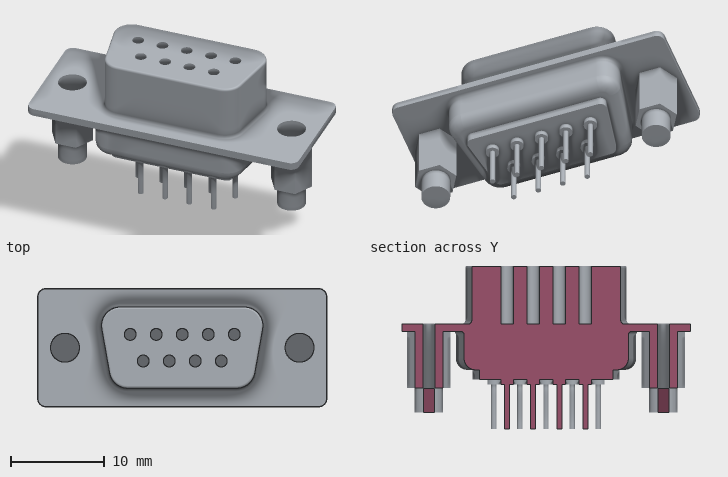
import cadquery as cq
import math

flange_thickness = 0.83
shell_height = 6.15
back_shell_depth = 4.1
insulator_depth = 5.1
collar_depth = 5.67
pin_depth = 10.4
hex_depth = 6.0
stud_depth = 8.63
shell_top = flange_thickness + shell_height

flange_length = 30.8
flange_width = 12.6
flange_corner_radius = 0.9
mount_spacing = 25.0
mount_points = [(-mount_spacing / 2, 0), (mount_spacing / 2, 0)]
hex_across_flats = 4.05
hex_across_corners = hex_across_flats / math.cos(math.pi / 6)
stud_diameter = 3.08

side_slope = math.radians(10)
shell_width = 17.2
shell_length = 8.65
shell_corner_radius = 1.97
back_shell_width = 19.23
back_shell_length = 10.85
back_shell_corner_radius = 1.9
insulator_width = 15.7
insulator_length = 7.0
insulator_corner_radius = 0.68

shell_rim_radius = 0.25
shell_root_radius = 0.35
back_shell_rim_radius = 1.23
back_shell_root_radius = 0.35

contact_pitch = 2.77
row_spacing = 2.83
back_row_count = 5
front_row_count = 4
socket_diameter = 1.25
socket_depth = shell_height
collar_diameter = 1.42
pin_diameter = 0.6


def contact_row(count, y):
    """Points of one row of contacts, centred on X = 0."""
    return [((i - (count - 1) / 2) * contact_pitch, y) for i in range(count)]


contact_points = contact_row(back_row_count, row_spacing / 2) + contact_row(front_row_count, -row_spacing / 2)


def cylinders(points, diameter, z_low, z_high):
    """Upright cylinders between two levels, one at each point."""
    base = cq.Workplane("XY").workplane(offset=z_low)
    return base.pushPoints(points).circle(diameter / 2).extrude(z_high - z_low)


def d_prism(width, length, corner_radius, z_low, z_high):
    """Upright prism with a rounded D outline, wide towards +Y and narrow towards -Y."""
    half_length = length / 2
    sharp_corner_offset = corner_radius * math.tan(math.pi / 4 + side_slope / 2)
    wide_half = width / 2 - corner_radius + sharp_corner_offset
    narrow_half = wide_half - length * math.tan(side_slope)
    outline = [
        (-wide_half, half_length),
        (wide_half, half_length),
        (narrow_half, -half_length),
        (-narrow_half, -half_length),
    ]
    prism = cq.Workplane("XY").workplane(offset=z_low).polyline(outline).close().extrude(z_high - z_low)
    return prism.edges("|Z").fillet(corner_radius)


def make_flange():
    flange = cq.Workplane("XY").box(
        flange_length, flange_width, flange_thickness, centered=(True, True, False)
    )
    return flange.edges("|Z").fillet(flange_corner_radius)


def make_shell():
    shell = d_prism(shell_width, shell_length, shell_corner_radius, 0, shell_top)
    return shell.faces(">Z").edges().fillet(shell_rim_radius)


def make_back_shell():
    back_shell = d_prism(
        back_shell_width, back_shell_length, back_shell_corner_radius, -back_shell_depth, 0
    )
    return back_shell.faces("<Z").edges().fillet(back_shell_rim_radius)


def fillet_root(body, z, radius):
    """Round the joint between a shell and the flange face at height z."""
    x_reach = flange_length / 2 - flange_corner_radius
    y_reach = flange_width / 2 - flange_corner_radius
    tolerance = 0.03
    joint = cq.selectors.BoxSelector(
        (-x_reach, -y_reach, z - tolerance), (x_reach, y_reach, z + tolerance)
    )
    return body.edges(joint).fillet(radius)


def make_insulator():
    return d_prism(
        insulator_width, insulator_length, insulator_corner_radius, -insulator_depth, -back_shell_depth
    )


def make_mounting_bosses():
    """Hexagonal bosses below the flange, with corners pointing along X."""
    return cq.Workplane("XY").pushPoints(mount_points).polygon(6, hex_across_corners).extrude(-hex_depth)


def make_connector():
    """Flange, both shells, insulator, contacts and bored mounting bosses in one solid."""
    body = make_flange().union(make_shell()).union(make_back_shell())
    body = fillet_root(body, flange_thickness, shell_root_radius)
    body = fillet_root(body, 0, back_shell_root_radius)
    body = body.union(make_insulator()).union(make_mounting_bosses())

    collars = cylinders(contact_points, collar_diameter, -collar_depth, -insulator_depth)
    pins = cylinders(contact_points, pin_diameter, -pin_depth, -collar_depth)
    body = body.union(collars).union(pins)

    sockets = cylinders(contact_points, socket_diameter, shell_top - socket_depth, shell_top)
    mount_bores = cylinders(mount_points, stud_diameter, -hex_depth, flange_thickness)
    return body.cut(sockets).cut(mount_bores)


def make_stud(point):
    """Round stud closing the lower end of a boss bore of the same diameter."""
    return cylinders([point], stud_diameter, -stud_depth, -hex_depth)


connector = make_connector()
studs = [make_stud(point) for point in mount_points]
result = cq.Compound.makeCompound([connector.val(), *(stud.val() for stud in studs)])